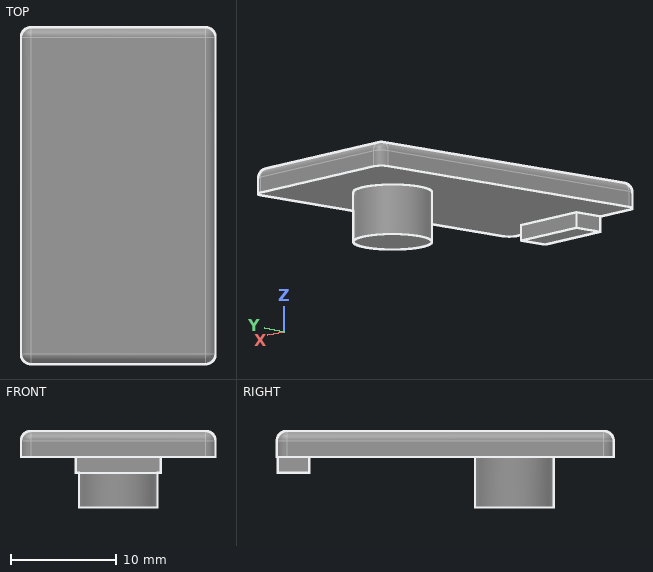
import cadquery as cq

plate_width = 18.5
plate_length = 32.0
plate_thickness = 2.5
edge_radius = 1.0

boss_diameter = 7.5
boss_center_y = 6.55
total_height = 7.3
boss_height = total_height - plate_thickness

tab_width = 8.1
tab_length = 3.0
tab_height = 1.5
tab_edge_gap = 0.1
tab_center_y = -plate_length / 2 + tab_edge_gap + tab_length / 2


def make_plate():
    """Plate with rounded corners and a rounded top edge."""
    plate = cq.Workplane("XY").rect(plate_width, plate_length).extrude(plate_thickness)
    return plate.edges("|Z or >Z").fillet(edge_radius)


def make_boss():
    """Plain cylinder reaching down from the underside."""
    return cq.Workplane("XY").center(0, boss_center_y).circle(boss_diameter / 2).extrude(-boss_height)


def make_tab():
    """Rectangular block reaching down from the underside."""
    return cq.Workplane("XY").center(0, tab_center_y).rect(tab_width, tab_length).extrude(-tab_height)


result = make_plate().union(make_boss()).union(make_tab())